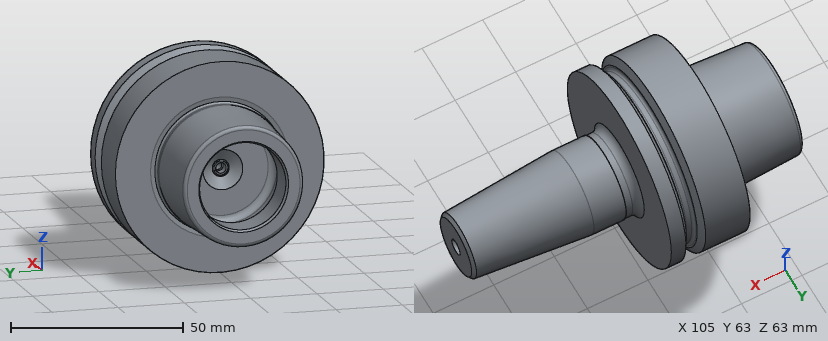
import cadquery as cq
import math


MID_ARC = 1 - math.sqrt(0.5)

overall_length = 105.0
shank_length = 25.0
flange_width = 26.0
flange_end = shank_length + flange_width

nose_radius = 18.1
nose_rounding = 1.0
taper_end_radius = 19.1
taper_end = 22.5
collar_radius = 18.9
collar_start = 23.4
root_fillet = 0.6
dish_radius = 20.9
dish_tilt = math.radians(10.0)
dish_inner_radius = collar_radius + root_fillet * math.cos(dish_tilt)
dish_floor = shank_length + (dish_radius - dish_inner_radius) * math.tan(dish_tilt)
collar_end = dish_floor - root_fillet * (1 + math.sin(dish_tilt))

flange_radius = 31.5
groove_center = 42.9
groove_mouth = 6.5
groove_lip_width = 3.6
groove_lip_radius = 29.1
groove_radius = 27.5
groove_fillet = 0.9

neck_radius = 13.3
neck_fillet_start_radius = 15.1
neck_fillet_end = 53.9
front_step = 56.1
front_radius = 13.5
front_taper_start = 66.8
tip_radius = 10.5
tip_chamfer = 1.0

mouth_radius = 13.5
bore_radius = 13.0
mouth_chamfer_length = 0.9
bore_straight_end = 10.1
clamp_groove_radius = 15.8
clamp_groove_end = 19.6
floor_fillet = 2.1
bore_depth = clamp_groove_end + floor_fillet
countersink_radius = 6.0
countersink_half_angle = 59.0

screw_radius = 2.5
screw_chamfer = 0.4
screw_length = 15.8
socket_radius = 1.6
socket_depth = 3.2
coolant_radius = 1.2

countersink_depth = (countersink_radius - screw_radius) / math.tan(math.radians(countersink_half_angle))
screw_start = bore_depth + countersink_depth


def turned(profile):
    """Revolve a closed (x, radius) profile about the X axis."""
    return profile.close().revolve(360, (0, 0, 0), (1, 0, 0))


def arc_end_tangent(profile, start, end):
    """Add an arc that becomes parallel to the X axis at its end point."""
    run = end[0] - start[0]
    drop = start[1] - end[1]
    arc_radius = (run**2 + drop**2) / (2 * drop)
    half_turn = math.asin(run / arc_radius) / 2
    middle = (
        end[0] - arc_radius * math.sin(half_turn),
        end[1] + arc_radius * (1 - math.cos(half_turn)),
    )
    return profile.threePointArc(middle, end)


def holder_blank():
    """Solid outside shape: taper, flange and front nose."""
    tip_slope = (front_radius - tip_radius) / (overall_length - front_taper_start)
    chamfer_start_radius = tip_radius + tip_slope * tip_chamfer

    profile = (
        cq.Workplane("XY")
        .lineTo(0, nose_radius - nose_rounding)
        .threePointArc(
            (nose_rounding * MID_ARC, nose_radius - nose_rounding * MID_ARC),
            (nose_rounding, nose_radius),
        )
        .lineTo(taper_end, taper_end_radius)
        .lineTo(collar_start, collar_radius)
        .lineTo(collar_end, collar_radius)
        .threePointArc(
            (collar_end + root_fillet * (1 - MID_ARC), collar_radius + root_fillet * MID_ARC),
            (dish_floor, dish_inner_radius),
        )
        .lineTo(shank_length, dish_radius)
        .lineTo(shank_length, flange_radius)
        .lineTo(flange_end, flange_radius)
        .lineTo(flange_end, neck_fillet_start_radius)
    )
    profile = arc_end_tangent(
        profile,
        (flange_end, neck_fillet_start_radius),
        (neck_fillet_end, neck_radius),
    )
    profile = (
        profile.lineTo(front_step, neck_radius)
        .lineTo(front_step, front_radius)
        .lineTo(front_taper_start, front_radius)
        .lineTo(overall_length - tip_chamfer, chamfer_start_radius)
        .lineTo(overall_length, chamfer_start_radius - tip_chamfer)
        .lineTo(overall_length, 0)
    )
    return turned(profile)


def gripper_groove():
    """Ring cut from the flange rim: sloped walls, straight lips, rounded floor."""
    half_mouth = groove_mouth / 2
    half_lip = groove_lip_width / 2
    half_floor = half_lip - groove_fillet
    corner = groove_fillet * MID_ARC
    fillet_top = groove_radius + groove_fillet
    left = groove_center - half_lip
    right = groove_center + half_lip
    profile = (
        cq.Workplane("XY")
        .moveTo(groove_center - half_mouth, flange_radius)
        .lineTo(left, groove_lip_radius)
        .lineTo(left, fillet_top)
        .threePointArc(
            (left + corner, groove_radius + corner),
            (groove_center - half_floor, groove_radius),
        )
        .lineTo(groove_center + half_floor, groove_radius)
        .threePointArc((right - corner, groove_radius + corner), (right, fillet_top))
        .lineTo(right, groove_lip_radius)
        .lineTo(groove_center + half_mouth, flange_radius)
    )
    return turned(profile)


def holder_bore():
    """Clamping bore, countersink and the hole that runs on through the tip."""
    profile = (
        cq.Workplane("XY")
        .lineTo(0, mouth_radius)
        .lineTo(mouth_chamfer_length, bore_radius)
        .lineTo(bore_straight_end, bore_radius)
        .lineTo(bore_straight_end, clamp_groove_radius)
        .lineTo(clamp_groove_end, clamp_groove_radius)
        .threePointArc(
            (bore_depth - floor_fillet * MID_ARC, clamp_groove_radius - floor_fillet * MID_ARC),
            (bore_depth, clamp_groove_radius - floor_fillet),
        )
        .lineTo(bore_depth, countersink_radius)
        .lineTo(screw_start, screw_radius)
        .lineTo(overall_length, screw_radius)
        .lineTo(overall_length, 0)
    )
    return turned(profile)


def make_holder():
    return holder_blank().cut(gripper_groove()).cut(holder_bore())


def make_set_screw():
    """Headless screw with a socket and a coolant hole along its axis."""
    screw_end = screw_start + screw_length
    socket_end = screw_start + socket_depth
    profile = (
        cq.Workplane("XY")
        .moveTo(screw_start, socket_radius)
        .lineTo(screw_start, screw_radius - screw_chamfer)
        .lineTo(screw_start + screw_chamfer, screw_radius)
        .lineTo(screw_end, screw_radius)
        .lineTo(screw_end, coolant_radius)
        .lineTo(socket_end, coolant_radius)
        .lineTo(socket_end, socket_radius)
    )
    return turned(profile)


holder = make_holder()
set_screw = make_set_screw()

result = cq.Compound.makeCompound([holder.val(), set_screw.val()])